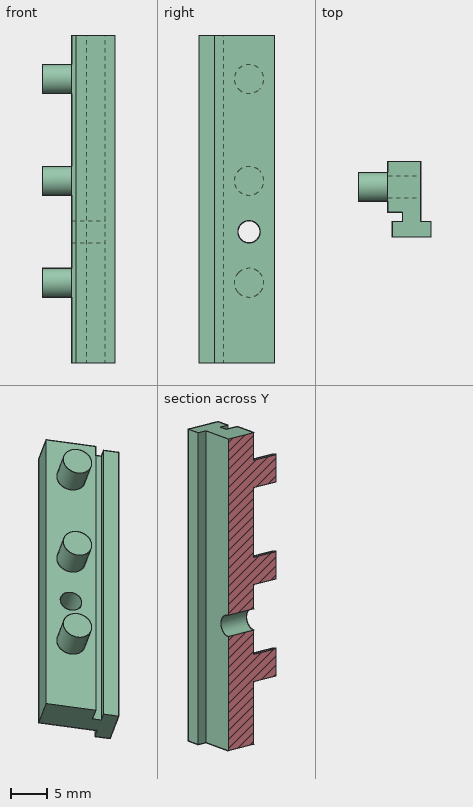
import cadquery as cq

length = 45.0
overall_width = 10.0
overall_depth = 10.4

pin_length = 4.0
body_width = 4.6
body_depth = 7.0
groove_height = 1.2
stem_width = 2.55
head_width = 5.35

pin_diameter = 4.0
pin_count = 3
pin_pitch = 14.0
top_pin_inset = 6.0
hole_diameter = 3.0

body_left = pin_length
body_right = body_left + body_width
stem_left = body_right - stem_width
head_left = overall_width - head_width
body_front = overall_depth - body_depth
head_back = body_front - groove_height
pin_y = overall_depth - body_depth / 2
top_pin_z = length - top_pin_inset
hole_z = top_pin_z - (pin_count - 1.5) * pin_pitch


def make_rail():
    """Extrude the body, stem and offset head along the full length."""
    outline = [
        (body_left, overall_depth),
        (body_right, overall_depth),
        (body_right, head_back),
        (overall_width, head_back),
        (overall_width, 0),
        (head_left, 0),
        (head_left, head_back),
        (stem_left, head_back),
        (stem_left, body_front),
        (body_left, body_front),
    ]
    return cq.Workplane("XY").polyline(outline).close().extrude(length)


def cylinder_along_x(diameter, start_x, end_x, z):
    """Round bar parallel to X, centred across the depth of the body."""
    plane = cq.Workplane("YZ", origin=(start_x, pin_y, z))
    return plane.circle(diameter / 2).extrude(end_x - start_x)


result = make_rail()
for index in range(pin_count):
    pin_z = top_pin_z - index * pin_pitch
    pin_end = body_left + body_width / 2
    result = result.union(cylinder_along_x(pin_diameter, 0, pin_end, pin_z))
result = result.cut(cylinder_along_x(hole_diameter, body_left, body_right, hole_z))